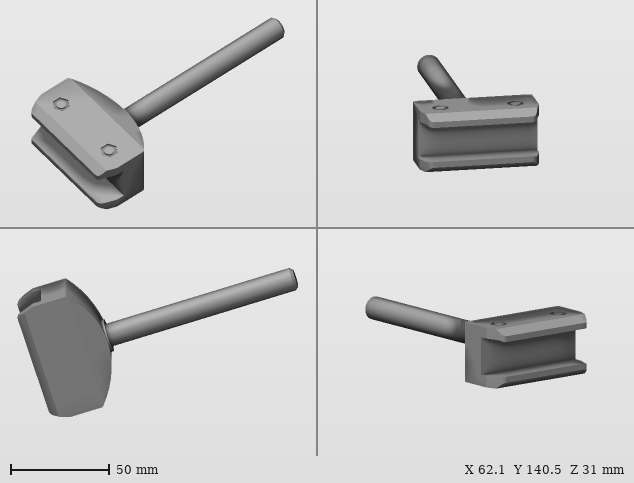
import cadquery as cq
import math

head_width = 62.1
head_height = 31.0
total_length = 140.5

taper_start = 9.7
taper_angle = 20.0
taper_blend_radius = 3.5
tip_corner_radius = 2.8
edge_margin = 0.1
shoulder_y = 27.1
crown_y = 39.8

slope_start = 28.2
crown_height = 19.1
tip_chamfer_length = 4.5
tip_outer_height = 24.3

slot_depth = 14.2
slot_height = 20.0
lip_gap = 18.1
lip_length = 3.7

rod_diameter = 12.0
rod_chamfer = 1.5
collar_diameter = 17.1
collar_end = 40.5

nut_spacing = 39.0
nut_y = 13.8
nut_across_flats = 8.0
nut_pocket_depth = 1.0
screw_diameter = 4.9


def extrude_across_width(profile):
    """Extrude a (y, z) profile along X, centred on the head."""
    return profile.close().extrude(head_width / 2, both=True)


def make_plan():
    half_width = head_width / 2
    tip_half_width = half_width - taper_start * math.tan(math.radians(taper_angle))
    plan = (
        cq.Workplane("XY", origin=(0, 0, -head_height / 2))
        .moveTo(-tip_half_width, 0)
        .lineTo(tip_half_width, 0)
        .lineTo(half_width, taper_start)
        .lineTo(half_width, shoulder_y)
        .threePointArc((0, crown_y), (-half_width, shoulder_y))
        .lineTo(-half_width, taper_start)
        .close()
        .extrude(head_height)
    )
    for y, radius in ((0, tip_corner_radius), (taper_start, taper_blend_radius)):
        corner_box = cq.selectors.BoxSelector(
            (-head_width, y - edge_margin, -head_height), (head_width, y + edge_margin, head_height)
        )
        plan = plan.edges("|Z").edges(corner_box).fillet(radius)
    return plan


def make_side_profile():
    return extrude_across_width(
        cq.Workplane("YZ")
        .moveTo(0, -tip_outer_height / 2)
        .lineTo(tip_chamfer_length, -head_height / 2)
        .lineTo(slope_start, -head_height / 2)
        .lineTo(crown_y, -crown_height / 2)
        .lineTo(crown_y, crown_height / 2)
        .lineTo(slope_start, head_height / 2)
        .lineTo(tip_chamfer_length, head_height / 2)
        .lineTo(0, tip_outer_height / 2)
    )


def make_slot():
    half_slot = slot_height / 2
    half_gap = lip_gap / 2
    return extrude_across_width(
        cq.Workplane("YZ")
        .moveTo(slot_depth, half_slot)
        .lineTo(lip_length, half_slot)
        .tangentArcPoint((0, half_gap), relative=False)
        .lineTo(0, -half_gap)
        .threePointArc(lip_midpoint(), (lip_length, -half_slot))
        .lineTo(slot_depth, -half_slot)
    )


def lip_midpoint():
    """Point halfway along the lower lip curve, as (y, z)."""
    rise = (slot_height - lip_gap) / 2
    radius = (lip_length**2 + rise**2) / (2 * rise)
    half_angle = math.asin(lip_length / radius) / 2
    y = lip_length - radius * math.sin(half_angle)
    z = -slot_height / 2 + radius * (1 - math.cos(half_angle))
    return y, z


def make_rod():
    rod = (
        cq.Workplane("XZ", origin=(0, slope_start, 0))
        .circle(rod_diameter / 2)
        .extrude(slope_start - total_length)
        .faces(">Y")
        .chamfer(rod_chamfer)
    )
    collar = (
        cq.Workplane("XZ", origin=(0, slope_start, 0))
        .circle(collar_diameter / 2)
        .extrude(slope_start - collar_end)
    )
    return rod.union(collar)


def make_nut_pockets():
    across_corners = nut_across_flats / math.cos(math.pi / 6)
    pocket_floor = head_height / 2 - nut_pocket_depth
    pockets = cq.Workplane("XY")
    for x in (-nut_spacing / 2, nut_spacing / 2):
        pocket = (
            cq.Workplane("XY", origin=(x, nut_y, pocket_floor))
            .transformed(rotate=(0, 0, 90))
            .polygon(6, across_corners)
            .circle(screw_diameter / 2)
            .extrude(nut_pocket_depth)
        )
        pockets = pockets.add(pocket)
    return pockets.combine()


head = make_plan().intersect(make_side_profile()).cut(make_slot())
result = head.union(make_rod()).cut(make_nut_pockets())